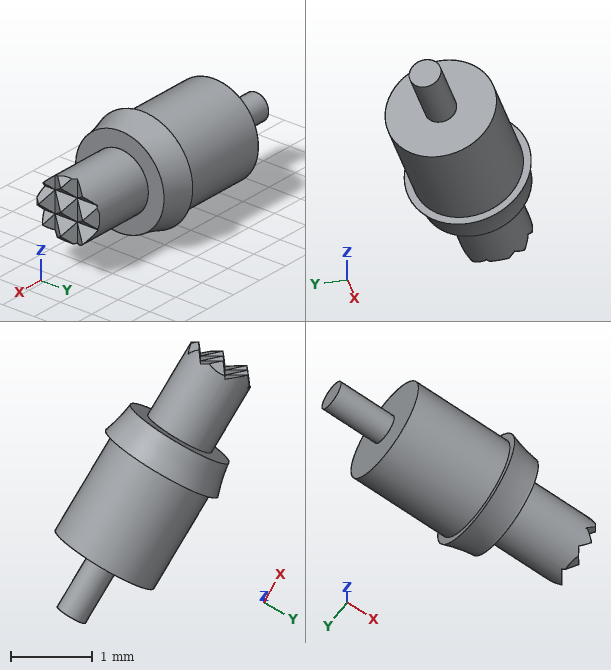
import cadquery as cq

total_length = 3.71
pin_radius = 0.2
pin_length = 0.8
body_radius = 0.7
collar_start = 2.18
collar_diameter = 1.6
collar_radius = collar_diameter / 2
collar_land_start = 2.595
collar_end = 2.61
collar_sag = 0.01
plunger_radius = 0.453

tooth_depth = 0.167
groove_rows = 5
y_pitch = 0.35
y_first_peak = -0.38 - y_pitch
y_peak_to_valley = 0.125
z_pitch = 0.33
z_first_peak = -0.325 - z_pitch
z_peak_to_valley = 0.175


def stepped_body():
    """Revolve the pin, barrel, hollow-flanked collar and plunger about X."""
    flank_middle = (
        (collar_start + collar_land_start) / 2,
        (collar_radius + body_radius) / 2 - collar_sag,
    )
    return (
        cq.Workplane("XY")
        .moveTo(0, 0)
        .lineTo(0, pin_radius)
        .lineTo(pin_length, pin_radius)
        .lineTo(pin_length, body_radius)
        .lineTo(collar_start, body_radius)
        .lineTo(collar_start, collar_radius)
        .threePointArc(flank_middle, (collar_land_start, body_radius))
        .lineTo(collar_end, body_radius)
        .lineTo(collar_end, plunger_radius)
        .lineTo(total_length, plunger_radius)
        .lineTo(total_length, 0)
        .close()
        .revolve(360, (0, 0, 0), (1, 0, 0))
    )


def cut_grooves(solid, plane, first_peak, pitch, peak_to_valley):
    """Cut a row of V grooves, side by side, straight through the plunger tip."""
    for row in range(groove_rows):
        peak = first_peak + row * pitch
        groove = (
            cq.Workplane(plane)
            .moveTo(total_length, peak)
            .lineTo(total_length - tooth_depth, peak + peak_to_valley)
            .lineTo(total_length, peak + pitch)
            .close()
            .extrude(2 * plunger_radius, both=True)
        )
        solid = solid.cut(groove)
    return solid


result = stepped_body()
result = cut_grooves(result, "XY", y_first_peak, y_pitch, y_peak_to_valley)
result = cut_grooves(result, "XZ", z_first_peak, z_pitch, z_peak_to_valley)